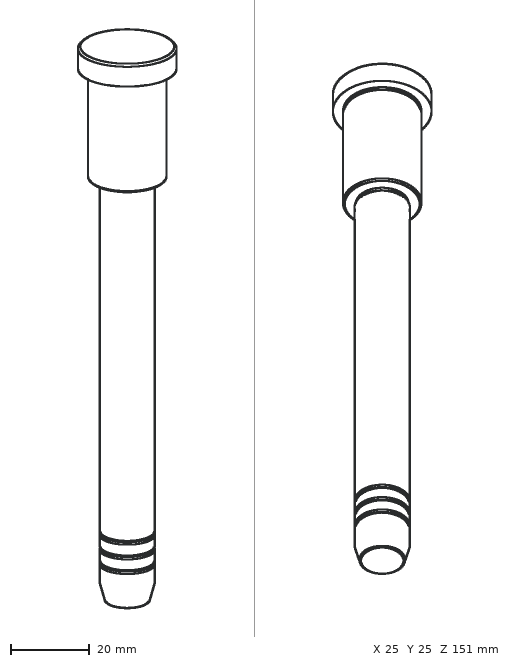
import cadquery as cq
import math

total_length = 151.0

head_diameter = 25.0
head_height = 6.0
head_edge = 0.6

collar_diameter = 20.0
collar_end_depth = 36.0
collar_edge = 0.5

shaft_diameter = 14.0
taper_height = 5.0
taper_angle = 15.0
tip_edge = 0.3

groove_depth = 0.3
head_groove_width = 0.9
collar_groove_width = 1.0
ring_groove_width = 1.0
ring_count = 3
ring_span = 8.0
lowest_ring_height = 10.0

ring_pitch = ring_span / (ring_count - 1)
head_bottom = total_length - head_height
collar_bottom = total_length - collar_end_depth
tip_diameter = shaft_diameter - 2 * taper_height * math.tan(math.radians(taper_angle))


def cylinder(diameter, bottom, top):
    """Upright cylinder on the Z axis between two heights."""
    return cq.Workplane("XY").workplane(offset=bottom).circle(diameter / 2).extrude(top - bottom)


def square_groove(diameter, bottom, width):
    """Ring-shaped cutter with a flat floor."""
    outer_radius = diameter / 2
    return (
        cq.Workplane("XY")
        .workplane(offset=bottom)
        .circle(outer_radius)
        .circle(outer_radius - groove_depth)
        .extrude(width)
    )


def v_groove(diameter, bottom, width):
    """Ring-shaped cutter with a V section, deepest at half its width."""
    outer_radius = diameter / 2
    return (
        cq.Workplane("XZ")
        .moveTo(outer_radius, bottom)
        .lineTo(outer_radius - groove_depth, bottom + width / 2)
        .lineTo(outer_radius, bottom + width)
        .close()
        .revolve(360, (0, 0, 0), (0, 1, 0))
    )


def make_tip():
    """Tapered lead-in with a chamfered end face."""
    cone = (
        cq.Workplane("XY")
        .circle(tip_diameter / 2)
        .workplane(offset=taper_height)
        .circle(shaft_diameter / 2)
        .loft(ruled=True)
    )
    return cone.faces("<Z").edges().chamfer(tip_edge)


def make_shaft():
    """Shaft with a relief groove below the collar and ring grooves above the tip."""
    shaft = cylinder(shaft_diameter, taper_height, collar_bottom)
    relief_bottom = collar_bottom - collar_groove_width
    shaft = shaft.cut(square_groove(shaft_diameter, relief_bottom, collar_groove_width))
    for index in range(ring_count):
        ring_bottom = lowest_ring_height + index * ring_pitch
        shaft = shaft.cut(v_groove(shaft_diameter, ring_bottom, ring_groove_width))
    return shaft


def make_collar():
    """Collar with a chamfered lower rim and a groove against the head."""
    collar = cylinder(collar_diameter, collar_bottom, head_bottom)
    collar = collar.faces("<Z").edges().chamfer(collar_edge)
    relief_bottom = head_bottom - head_groove_width
    return collar.cut(v_groove(collar_diameter, relief_bottom, head_groove_width))


def make_head():
    """Head disc with a chamfered top rim."""
    head = cylinder(head_diameter, head_bottom, total_length)
    return head.faces(">Z").edges().chamfer(head_edge)


result = make_tip().union(make_shaft()).union(make_collar()).union(make_head())